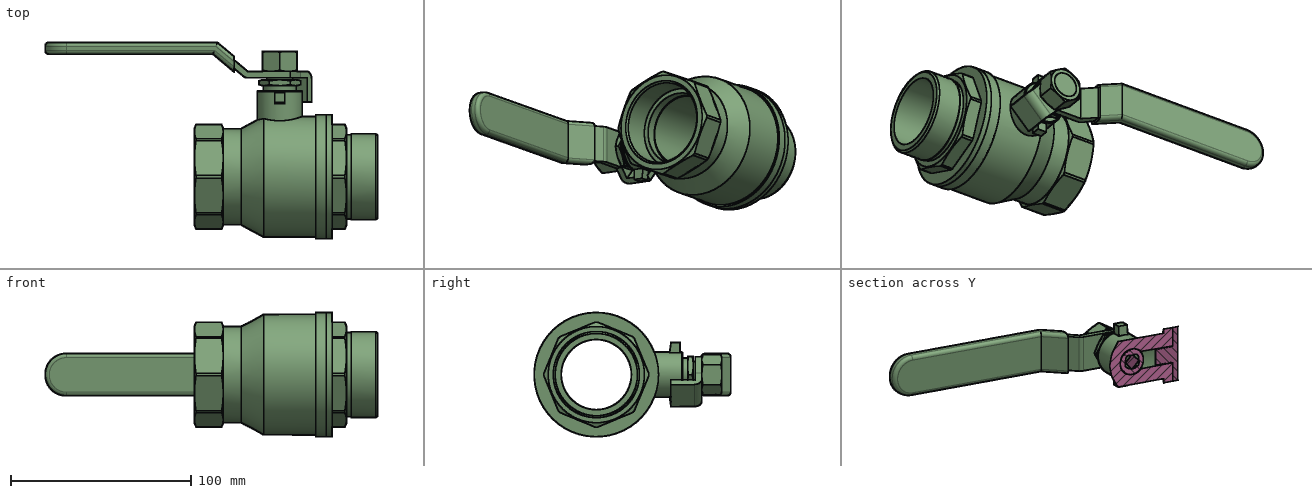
import cadquery as cq
import math


HOUSING_START_X = -47.5
HEX_END_X = -31.2
CONE_START_X = -21.4
CONE_END_X = -8.9
FLANGE_START_X = 20.0
JOINT_X = 25.8
CAP_HEX_START_X = 29.0
CAP_HEX_END_X = 37.0
RELIEF_END_X = 39.5
CAP_END_X = 54.5

COLLAR_DIAMETER = 53.5
SHELL_DIAMETER = 67.0
FLANGE_DIAMETER = 69.0
THREAD_DIAMETER = 47.8
RELIEF_DIAMETER = 46.9
THREAD_CHAMFER = 1.1
SOCKET_DIAMETER = 45.0
SOCKET_MOUTH_DIAMETER = 47.0
SOCKET_DEPTH = 17.5
HOUSING_BORE_DIAMETER = 40.0
BALL_DIAMETER = 62.0
BALL_BORE_DIAMETER = 38.7
SPIGOT_START_X = 14.8
SEAT_MIDDLE_X = 20.3

OCTAGON_ACROSS_FLATS = 54.2
OCTAGON_CORNER_DIAMETER = 58.1
OCTAGON_FACE_DIAMETER = 53.3
OCTAGON_CHAMFER_LENGTH = 1.01

NECK_TOP_Y = 47.8
GLAND_TOP_Y = 50.5
LOCK_NUT_TOP_Y = 53.7
LEVER_BOTTOM_Y = 54.8
LEVER_THICKNESS = 3.7
LEVER_TOP_Y = LEVER_BOTTOM_Y + LEVER_THICKNESS
LEVER_NUT_TOP_Y = 69.5
NECK_DIAMETER = 25.0
NECK_CHAMFER = 0.5
STEM_DIAMETER = 14.5
GLAND_DIAMETER = 18.5
LOCK_NUT_ACROSS_FLATS = 20.1
LEVER_NUT_ACROSS_FLATS = 19.2
NUT_CHAMFER_LENGTH = 0.5

LUG_WIDTH = 5.5
LUG_REACH_Z = 17.9
LUG_TOP_Y = 46.5
LUG_TIP_BOTTOM_Y = 41.3
LUG_ROOT_BOTTOM_Y = 40.5

LEVER_BEND_ANGLE = 40.0
LEVER_HALF_WIDTH = 10.0
LOWER_BEND_X = -18.5
LOWER_BEND_RADIUS = 3.7
GRIP_TOP_Y = 74.5
GRIP_THICKNESS = 6.6
GRIP_HALF_WIDTH = 11.8
GRIP_TIP_X = CAP_END_X - 184.5
GRIP_END_X = -25.3
GRIP_FILLET = 2.2
TIP_CENTRE_X = GRIP_TIP_X + GRIP_HALF_WIDTH

FOOT_REACH = 16.5
FOOT_HALF_WIDTH = 8.7
FOOT_BOTTOM_Y = 41.3
FOOT_BEND_RADIUS = 4.2
SHOULDER_START_X = 5.9
SHOULDER_END_X = 11.3


def x_cylinder(diameter, start, end):
    return cq.Workplane("YZ", origin=(start, 0, 0)).circle(diameter / 2).extrude(end - start)


def y_cylinder(diameter, start, end):
    return cq.Workplane("XZ", origin=(0, start, 0)).circle(diameter / 2).extrude(start - end)


def revolved_about_x(points):
    return cq.Workplane("XY").polyline(points).close().revolve(360, (0, 0, 0), (1, 0, 0))


def sphere_radius_at(x):
    """Radius about the pipe axis of the ball's outer surface at station x."""
    return math.sqrt((BALL_DIAMETER / 2)**2 - x**2)


def ball_sphere():
    return cq.Workplane("XY").sphere(BALL_DIAMETER / 2)


def octagon(start, end, start_chamfered):
    """Octagonal grip along X with turned corners; the +X end is always chamfered."""
    across_corners = OCTAGON_ACROSS_FLATS / math.cos(math.pi / 8)
    prism = cq.Workplane("YZ", origin=(start, 0, 0)).polygon(8, across_corners).extrude(end - start)
    corner = OCTAGON_CORNER_DIAMETER / 2
    face = OCTAGON_FACE_DIAMETER / 2
    turned = [(start, 0)]
    if start_chamfered:
        turned += [(start, face), (start + OCTAGON_CHAMFER_LENGTH, corner)]
    else:
        turned += [(start, corner)]
    turned += [(end - OCTAGON_CHAMFER_LENGTH, corner), (end, face), (end, 0)]
    return prism.intersect(revolved_about_x(turned))


def stop_lug():
    """Lug on the +Z side of the neck with a sloping underside."""
    return (
        cq.Workplane("YZ", origin=(-LUG_WIDTH / 2, 0, 0))
        .polyline([
            (LUG_TOP_Y, 0),
            (LUG_TOP_Y, LUG_REACH_Z),
            (LUG_TIP_BOTTOM_Y, LUG_REACH_Z),
            (LUG_ROOT_BOTTOM_Y, NECK_DIAMETER / 2),
            (LUG_ROOT_BOTTOM_Y, 0),
        ])
        .close()
        .extrude(LUG_WIDTH)
    )


def make_housing():
    shell = revolved_about_x([
        (HEX_END_X, 0),
        (HEX_END_X, COLLAR_DIAMETER / 2),
        (CONE_START_X, COLLAR_DIAMETER / 2),
        (CONE_END_X, SHELL_DIAMETER / 2),
        (FLANGE_START_X, SHELL_DIAMETER / 2),
        (FLANGE_START_X, FLANGE_DIAMETER / 2),
        (JOINT_X, FLANGE_DIAMETER / 2),
        (JOINT_X, 0),
    ])
    neck = y_cylinder(NECK_DIAMETER, 0, NECK_TOP_Y).faces(">Y").chamfer(NECK_CHAMFER)
    lug = stop_lug()
    body = shell.union(octagon(HOUSING_START_X, HEX_END_X, True)).union(neck)
    body = body.union(lug).union(lug.mirror("XY"))

    mouth_chamfer = (SOCKET_MOUTH_DIAMETER - SOCKET_DIAMETER) / 2
    socket_end = HOUSING_START_X + SOCKET_DEPTH
    socket = revolved_about_x([
        (HOUSING_START_X, 0),
        (HOUSING_START_X, SOCKET_MOUTH_DIAMETER / 2),
        (HOUSING_START_X + mouth_chamfer, SOCKET_DIAMETER / 2),
        (socket_end, SOCKET_DIAMETER / 2),
        (socket_end, 0),
    ])
    body = body.cut(socket).cut(x_cylinder(HOUSING_BORE_DIAMETER, socket_end, 0))
    body = body.cut(ball_sphere()).cut(x_cylinder(BALL_DIAMETER, 0, JOINT_X))
    return body.cut(y_cylinder(STEM_DIAMETER, 0, NECK_TOP_Y))


def make_end_cap():
    """Cap with a spherical seat on its spigot, an octagon and a threaded end, bored through."""
    thread = THREAD_DIAMETER / 2
    bore = BALL_BORE_DIAMETER / 2
    ball = BALL_DIAMETER / 2
    seat_start = (SPIGOT_START_X, sphere_radius_at(SPIGOT_START_X))
    seat_middle = (SEAT_MIDDLE_X, sphere_radius_at(SEAT_MIDDLE_X))
    seat_end = (math.sqrt(ball**2 - bore**2), bore)
    turned = (
        cq.Workplane("XY")
        .moveTo(*seat_end)
        .threePointArc(seat_middle, seat_start)
        .polyline([
            (SPIGOT_START_X, ball),
            (JOINT_X, ball),
            (JOINT_X, FLANGE_DIAMETER / 2),
            (CAP_HEX_START_X, FLANGE_DIAMETER / 2),
            (CAP_HEX_START_X, RELIEF_DIAMETER / 2),
            (RELIEF_END_X, RELIEF_DIAMETER / 2),
            (RELIEF_END_X, thread),
            (CAP_END_X - THREAD_CHAMFER, thread),
            (CAP_END_X, thread - THREAD_CHAMFER),
            (CAP_END_X, bore),
        ], includeCurrent=True)
        .close()
        .revolve(360, (0, 0, 0), (1, 0, 0))
    )
    bore_tool = x_cylinder(BALL_BORE_DIAMETER, CAP_HEX_START_X, CAP_HEX_END_X)
    return turned.union(octagon(CAP_HEX_START_X, CAP_HEX_END_X, False).cut(bore_tool))


def make_ball():
    bore = x_cylinder(BALL_BORE_DIAMETER, -BALL_DIAMETER / 2, BALL_DIAMETER / 2)
    return ball_sphere().cut(bore)


def make_stem():
    return y_cylinder(STEM_DIAMETER, 0, LEVER_NUT_TOP_Y).cut(ball_sphere())


def make_gland():
    return y_cylinder(GLAND_DIAMETER, NECK_TOP_Y, GLAND_TOP_Y).cut(
        y_cylinder(STEM_DIAMETER, NECK_TOP_Y, GLAND_TOP_Y)
    )


def hex_nut(across_flats, bottom, top, turn):
    """Nut around the stem with its corners chamfered at both ends; turn is about Y."""
    corner = across_flats / math.sqrt(3)
    flat = across_flats / 2
    prism = (
        cq.Workplane("XZ", origin=(0, bottom, 0))
        .polygon(6, 2 * corner)
        .extrude(bottom - top)
        .rotate((0, 0, 0), (0, 1, 0), turn)
    )
    turned = (
        cq.Workplane("XY")
        .polyline([
            (0, bottom),
            (flat, bottom),
            (corner, bottom + NUT_CHAMFER_LENGTH),
            (corner, top - NUT_CHAMFER_LENGTH),
            (flat, top),
            (0, top),
        ])
        .close()
        .revolve(360, (0, 0, 0), (0, 1, 0))
    )
    return prism.intersect(turned).cut(y_cylinder(STEM_DIAMETER, bottom, top))


def bent_strip(thickness, end_x):
    """Side profile of the lever, a Z-bend of the given thickness, extruded across the full width."""
    slope = math.tan(math.radians(LEVER_BEND_ANGLE))
    miter = thickness / 2 * math.tan(math.radians(LEVER_BEND_ANGLE / 2))
    half = thickness / 2
    lower_y = LEVER_BOTTOM_Y + LEVER_THICKNESS / 2
    upper_y = GRIP_TOP_Y - GRIP_THICKNESS / 2
    upper_bend_x = LOWER_BEND_X - (upper_y - lower_y) / slope
    points = [
        (GRIP_TIP_X, upper_y + half),
        (upper_bend_x + miter, upper_y + half),
        (LOWER_BEND_X + miter, lower_y + half),
        (end_x, lower_y + half),
        (end_x, lower_y - half),
        (LOWER_BEND_X - miter, lower_y - half),
        (upper_bend_x - miter, upper_y - half),
        (GRIP_TIP_X, upper_y - half),
    ]
    return cq.Workplane("XY").polyline(points).close().extrude(2 * FOOT_REACH, both=True)


def y_prism(outline):
    return outline.close().extrude(-GRIP_TOP_Y)


def handle_outline(half_width, end_points):
    """Plan of a strip with a round tip, followed by the given points from +Z round to -Z."""
    return (
        cq.Workplane("XZ")
        .moveTo(TIP_CENTRE_X, -half_width)
        .threePointArc((TIP_CENTRE_X - half_width, 0), (TIP_CENTRE_X, half_width))
        .polyline(end_points, includeCurrent=True)
    )


def diagonal_point(reach, side):
    """Plan point reach along the (+X, -Z) diagonal and side along the (+X, +Z) diagonal."""
    return ((reach + side) / math.sqrt(2), (side - reach) / math.sqrt(2))


def make_lever():
    shoulder_z = math.sqrt(2) * FOOT_HALF_WIDTH - SHOULDER_END_X
    foot_root_x = LEVER_HALF_WIDTH - math.sqrt(2) * FOOT_HALF_WIDTH
    plan = y_prism(handle_outline(LEVER_HALF_WIDTH, [
        (SHOULDER_START_X, LEVER_HALF_WIDTH),
        (SHOULDER_END_X, shoulder_z),
        diagonal_point(FOOT_REACH, FOOT_HALF_WIDTH),
        diagonal_point(FOOT_REACH, -FOOT_HALF_WIDTH),
        (foot_root_x, -LEVER_HALF_WIDTH),
    ]))
    blade = bent_strip(LEVER_THICKNESS, 2 * FOOT_REACH).intersect(plan)

    foot_inside = FOOT_REACH - LEVER_THICKNESS
    foot = (
        cq.Workplane("XZ", origin=(0, FOOT_BOTTOM_Y, 0))
        .polyline([
            diagonal_point(FOOT_REACH, FOOT_HALF_WIDTH),
            diagonal_point(FOOT_REACH, -FOOT_HALF_WIDTH),
            diagonal_point(foot_inside, -FOOT_HALF_WIDTH),
            diagonal_point(foot_inside, FOOT_HALF_WIDTH),
        ])
        .close()
        .extrude(FOOT_BOTTOM_Y - LEVER_TOP_Y)
    )
    bend_x, bend_z = diagonal_point(FOOT_REACH, 0)
    bend_edge = cq.selectors.NearestToPointSelector((bend_x, LEVER_TOP_Y, bend_z))
    lever = blade.union(foot).edges(bend_edge).fillet(FOOT_BEND_RADIUS)
    lower_edge = cq.selectors.NearestToPointSelector((LOWER_BEND_X, LEVER_BOTTOM_Y, 0))
    lever = lever.edges(lower_edge).fillet(LOWER_BEND_RADIUS)
    return lever.cut(y_cylinder(STEM_DIAMETER, LEVER_BOTTOM_Y, LEVER_TOP_Y))


def make_grip(lever):
    """Sleeve with rounded long edges that fits over the raised end of the lever."""
    plan = y_prism(handle_outline(GRIP_HALF_WIDTH, [
        (GRIP_END_X, GRIP_HALF_WIDTH),
        (GRIP_END_X, -GRIP_HALF_WIDTH),
    ]))
    sleeve = bent_strip(GRIP_THICKNESS, 0).intersect(plan)
    return sleeve.edges("not (|Y or |Z)").fillet(GRIP_FILLET).cut(lever)


housing = make_housing()
end_cap = make_end_cap()
ball = make_ball()
stem = make_stem()
gland = make_gland()
lock_nut = hex_nut(LOCK_NUT_ACROSS_FLATS, GLAND_TOP_Y, LOCK_NUT_TOP_Y, 0)
lever_nut = hex_nut(LEVER_NUT_ACROSS_FLATS, LEVER_TOP_Y, LEVER_NUT_TOP_Y, 30)
lever = make_lever()
grip = make_grip(lever)

result = cq.Compound.makeCompound([
    housing.val(),
    end_cap.val(),
    ball.val(),
    stem.val(),
    gland.val(),
    lock_nut.val(),
    lever_nut.val(),
    lever.val(),
    grip.val(),
])